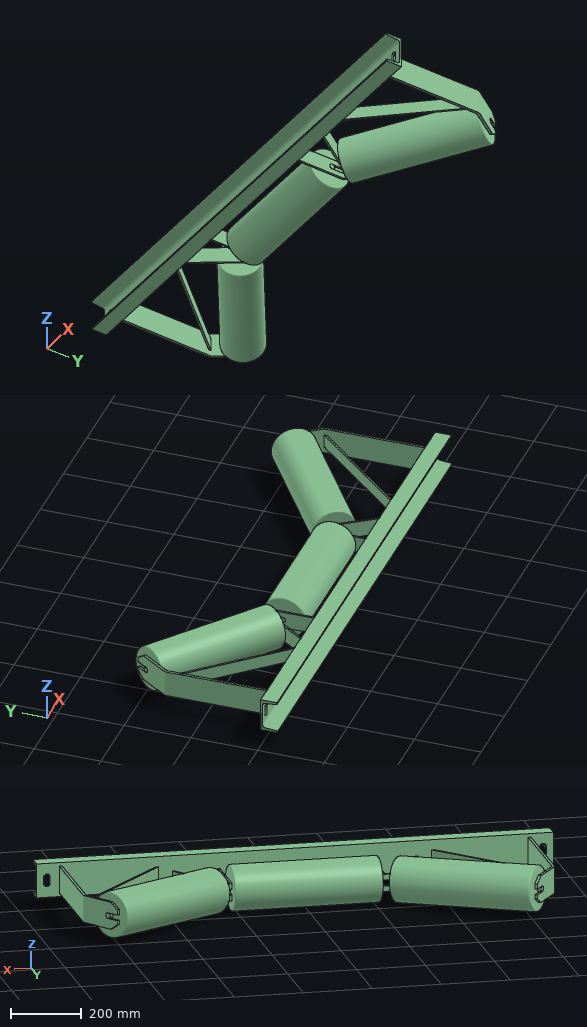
import cadquery as cq
import math


BEAM_LENGTH = 1500.0
BEAM_HEIGHT = 100.0
FLANGE_WIDTH = 50.0
WEB_THICKNESS = 6.0
FLANGE_ROOT = 9.9
FLANGE_TIP = 6.6
ROOT_RADIUS = 8.5
TIP_RADIUS = 3.0
MOUNT_SLOT_X = 720.0
MOUNT_SLOT_WIDTH = 18.0
MOUNT_SLOT_HEIGHT = 36.0

ROLLER_DIAMETER = 134.0
ROLLER_LENGTH = 430.0
ROLLER_EDGE_RADIUS = 5.0
SHAFT_DIAMETER = 16.0
TROUGH_ANGLE = 35.0
TILT_ANGLE = 2.5
MIDDLE_ROLLER_Y = 117.0
MIDDLE_ROLLER_Z = -21.0
SIDE_ROLLER_X = 444.0
SIDE_ROLLER_Y = 256.0
END_GAP = 3.8

OUTER_THICKNESS = 8.0
OUTER_HEIGHT = 80.0
OUTER_BEND_RADIUS = 8.0
OUTER_ARM_X = 684.0
OUTER_PLATE_TOP = 36.0
CORNER_ALONG = 25.0
CORNER_ACROSS = 18.0
INNER_THICKNESS = 6.0
INNER_HEIGHT = 51.0
INNER_TOP_Y = 164.0
INNER_BEND_RADIUS = 2.0
BRACE_THICKNESS = 6.0
BRACE_HEIGHT = 40.0
BRACE_FOOT_X = 396.0
BRACE_TOP_Y = 308.0

trough = math.radians(TROUGH_ANGLE)
tilt = math.radians(TILT_ANGLE)
AXIS_X = math.cos(trough)
AXIS_Y = math.sin(trough)
SIDE_AXIS = cq.Vector(AXIS_X * math.cos(tilt), AXIS_Y * math.cos(tilt), math.sin(tilt))
PLATE_NORMAL = cq.Vector(AXIS_X, AXIS_Y, 0)
PLATE_UP = cq.Vector(-AXIS_Y, AXIS_X, 0)
SIDE_ROLLER_Z = MIDDLE_ROLLER_Z + ROLLER_LENGTH / 2 * math.sin(tilt)
SIDE_CENTRE = cq.Vector(SIDE_ROLLER_X, SIDE_ROLLER_Y, SIDE_ROLLER_Z)
MIDDLE_CENTRE = cq.Vector(0, MIDDLE_ROLLER_Y, MIDDLE_ROLLER_Z)
X_AXIS = cq.Vector(1, 0, 0)
Y_AXIS = cq.Vector(0, 1, 0)
OUTER_FACE = ROLLER_LENGTH / 2 + END_GAP + OUTER_THICKNESS
INNER_FACE = -ROLLER_LENGTH / 2 - END_GAP
MIDDLE_FACE = ROLLER_LENGTH / 2 + END_GAP
MIDDLE_SHAFT_REACH = MIDDLE_FACE + INNER_THICKNESS
INNER_SHAFT_REACH = INNER_THICKNESS - INNER_FACE
SLOT_RUN = 18.0


def plate_point(along, up):
    """Plan point by its distance along the side roller axis and up an end plate."""
    x = SIDE_ROLLER_X + along * AXIS_X - up * AXIS_Y
    y = SIDE_ROLLER_Y + along * AXIS_Y + up * AXIS_X
    return (x, y)


def plate_at_x(along, x):
    """Plan point where an end plate face reaches a given X."""
    return plate_point(along, (SIDE_ROLLER_X + along * AXIS_X - x) / AXIS_Y)


def plate_at_y(along, y):
    """Plan point where an end plate face reaches a given Y."""
    return plate_point(along, (y - SIDE_ROLLER_Y - along * AXIS_Y) / AXIS_X)


def make_beam():
    """Channel with tapered flanges toward -Y and an upright slot near each end."""
    half = BEAM_HEIGHT / 2
    beam = (
        cq.Workplane("YZ")
        .workplane(offset=-BEAM_LENGTH / 2)
        .polyline([
            (0, -half),
            (0, half),
            (-FLANGE_WIDTH, half),
            (-FLANGE_WIDTH, half - FLANGE_TIP),
            (-WEB_THICKNESS, half - FLANGE_ROOT),
            (-WEB_THICKNESS, FLANGE_ROOT - half),
            (-FLANGE_WIDTH, FLANGE_TIP - half),
            (-FLANGE_WIDTH, -half),
        ])
        .close()
        .extrude(BEAM_LENGTH)
    )
    root_y = -WEB_THICKNESS
    root_z = half - FLANGE_ROOT
    tip_z = half - FLANGE_TIP
    for y, z, radius in ((root_y, root_z, ROOT_RADIUS), (-FLANGE_WIDTH, tip_z, TIP_RADIUS)):
        for side in (-1, 1):
            edge = cq.selectors.NearestToPointSelector((0, y, side * z))
            beam = beam.edges("|X").edges(edge).fillet(radius)
    slots = (
        cq.Workplane("XZ")
        .pushPoints([(-MOUNT_SLOT_X, 0), (MOUNT_SLOT_X, 0)])
        .slot2D(MOUNT_SLOT_HEIGHT, MOUNT_SLOT_WIDTH, 90)
        .extrude(WEB_THICKNESS)
    )
    return beam.cut(slots)


def make_roller(centre, axis, back_reach, front_reach):
    """Roller tube with rounded rims on a shaft that reaches into the brackets."""
    across = cq.Vector(0, 0, 1).cross(axis)
    plane = cq.Plane(centre, axis.cross(across), axis)
    tube = (
        cq.Workplane(plane)
        .workplane(offset=-ROLLER_LENGTH / 2)
        .circle(ROLLER_DIAMETER / 2)
        .extrude(ROLLER_LENGTH)
        .edges("%CIRCLE")
        .fillet(ROLLER_EDGE_RADIUS)
    )
    shaft = (
        cq.Workplane(plane)
        .workplane(offset=-back_reach)
        .circle(SHAFT_DIAMETER / 2)
        .extrude(back_reach + front_reach)
    )
    return tube.union(shaft)


def shaft_slot(centre, axis, up, start):
    """Cutter for a shaft slot past a roller end, round at the shaft and open along up."""
    depth = ROLLER_DIAMETER / 2
    radius = SHAFT_DIAMETER / 2
    return (
        cq.Workplane(cq.Plane(centre + axis * start, up, axis))
        .moveTo(depth, -radius)
        .lineTo(0, -radius)
        .threePointArc((-radius, 0), (0, radius))
        .lineTo(depth, radius)
        .close()
        .extrude(SLOT_RUN)
    )


def extrude_strip(outline, bottom_z, height):
    """Upright strip with the given plan outline."""
    return cq.Workplane("XY").workplane(offset=bottom_z).polyline(outline).close().extrude(height)


def round_bend(strip, inner_corner, outer_corner, inner_radius, thickness):
    """Round both faces of a strip about one bend centre."""
    for corner, radius in ((inner_corner, inner_radius), (outer_corner, inner_radius + thickness)):
        edge = cq.selectors.NearestToPointSelector((*corner, 0))
        strip = strip.edges("|Z").edges(edge).fillet(radius)
    return strip


def make_outer_bracket():
    """Arm that bends inward into the slotted end plate of the right-hand roller."""
    inner_face = OUTER_FACE - OUTER_THICKNESS
    inner_x = OUTER_ARM_X - OUTER_THICKNESS
    inner_corner = plate_at_x(inner_face, inner_x)
    outer_corner = plate_at_x(OUTER_FACE, OUTER_ARM_X)
    outline = [
        (inner_x, 0),
        (OUTER_ARM_X, 0),
        outer_corner,
        plate_point(OUTER_FACE, OUTER_PLATE_TOP),
        plate_point(inner_face, OUTER_PLATE_TOP),
        inner_corner,
    ]
    bracket = extrude_strip(outline, -OUTER_HEIGHT / 2, OUTER_HEIGHT)
    bracket = round_bend(bracket, inner_corner, outer_corner, OUTER_BEND_RADIUS, OUTER_THICKNESS)

    end_plane = cq.Plane((*plate_point(inner_face, OUTER_PLATE_TOP), 0), PLATE_UP, PLATE_NORMAL)
    half = OUTER_HEIGHT / 2
    for side in (-1, 1):
        corner = (
            cq.Workplane(end_plane)
            .polyline([
                (0, side * half),
                (-CORNER_ALONG, side * half),
                (0, side * (half - CORNER_ACROSS)),
            ])
            .close()
            .extrude(OUTER_THICKNESS)
        )
        bracket = bracket.cut(corner)
    return bracket.cut(shaft_slot(SIDE_CENTRE, SIDE_AXIS, PLATE_UP, ROLLER_LENGTH / 2))


def make_inner_bracket():
    """Strip folded over between the middle roller and the right-hand roller."""
    near_x = MIDDLE_FACE
    far_x = near_x + INNER_THICKNESS
    under_y = INNER_TOP_Y - INNER_THICKNESS
    near_face = INNER_FACE
    far_face = near_face - INNER_THICKNESS
    upright_inner = (far_x, under_y)
    upright_outer = (near_x, INNER_TOP_Y)
    slope_inner = plate_at_y(far_face, under_y)
    slope_outer = plate_at_y(near_face, INNER_TOP_Y)
    outline = [
        (near_x, 0),
        upright_outer,
        slope_outer,
        plate_at_y(near_face, 0),
        plate_at_y(far_face, 0),
        slope_inner,
        upright_inner,
        (far_x, 0),
    ]
    bracket = extrude_strip(outline, MIDDLE_ROLLER_Z - INNER_HEIGHT / 2, INNER_HEIGHT)
    for inner, outer in ((upright_inner, upright_outer), (slope_inner, slope_outer)):
        bracket = round_bend(bracket, inner, outer, INNER_BEND_RADIUS, INNER_THICKNESS)
    bracket = bracket.cut(shaft_slot(MIDDLE_CENTRE, X_AXIS, Y_AXIS, ROLLER_LENGTH / 2))
    return bracket.cut(shaft_slot(SIDE_CENTRE, SIDE_AXIS * -1, PLATE_UP, ROLLER_LENGTH / 2))


def make_brace(bracket):
    """Diagonal strip from the beam, trimmed to the inside of the bend in its outer bracket."""
    top_x = OUTER_ARM_X - OUTER_THICKNESS
    run = top_x - BRACE_FOOT_X
    length = math.hypot(run, BRACE_TOP_Y)
    outline = [
        (BRACE_FOOT_X, 0),
        (top_x, BRACE_TOP_Y),
        (top_x, BRACE_TOP_Y - BRACE_THICKNESS * length / run),
        (BRACE_FOOT_X + BRACE_THICKNESS * length / BRACE_TOP_Y, 0),
    ]
    return extrude_strip(outline, -BRACE_HEIGHT / 2, BRACE_HEIGHT).cut(bracket)


beam = make_beam()
middle_roller = make_roller(MIDDLE_CENTRE, X_AXIS, MIDDLE_SHAFT_REACH, MIDDLE_SHAFT_REACH).val()
side_roller = make_roller(SIDE_CENTRE, SIDE_AXIS, INNER_SHAFT_REACH, OUTER_FACE).val()

outer_bracket = make_outer_bracket()
inner_bracket = make_inner_bracket()
brace = make_brace(outer_bracket)

right_bodies = [side_roller, *outer_bracket.vals(), *inner_bracket.vals(), *brace.vals()]
left_bodies = [body.mirror("YZ") for body in right_bodies]

result = cq.Compound.makeCompound([beam.val(), middle_roller, *right_bodies, *left_bodies])